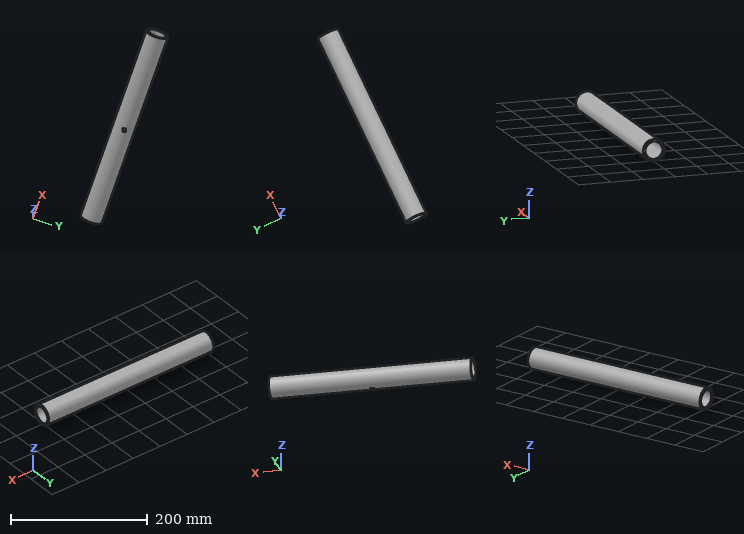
import cadquery as cq

length = 304.8
outer_diameter = 33.5
bore_diameter = 26.5
side_hole_diameter = 5.5

tube = (
    cq.Workplane("YZ")
    .circle(outer_diameter / 2)
    .circle(bore_diameter / 2)
    .extrude(length / 2, both=True)
)

side_hole = cq.Workplane("XY").circle(side_hole_diameter / 2).extrude(-outer_diameter)

result = tube.cut(side_hole)